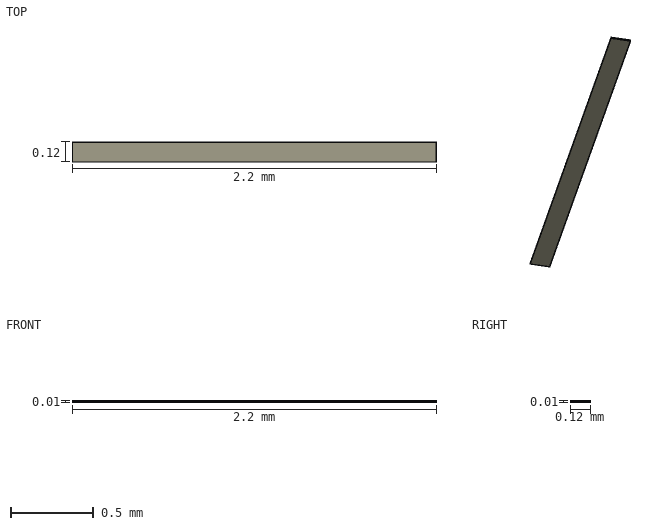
import cadquery as cq

length = 2.2
width = 0.12
thickness = 0.01

result = cq.Workplane("XY").box(length, width, thickness)